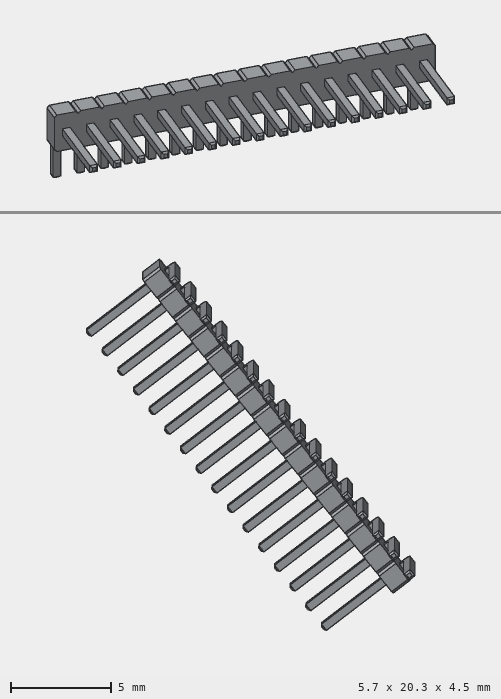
import cadquery as cq

pin_count = 16
body_length = 20.32
pitch = body_length / pin_count
overall_depth = 5.7
overall_height = 4.5

body_depth = 1.05
body_height = 2.11
body_offset = 0.67
corner_chamfer = 0.132

pin_width = 0.4
bend_radius = pin_width
tip_length = 0.1
tip_inset = tip_length
tip_width = pin_width - 2 * tip_inset

half_pin = pin_width / 2
leg_bottom = body_height / 2 - overall_height


def make_segment(y):
    """One chamfered body block; neighbouring chamfers form the V notches."""
    return (
        cq.Workplane("XY")
        .box(body_depth, pitch, body_height)
        .edges("|X")
        .chamfer(corner_chamfer)
        .translate((body_offset + body_depth / 2, y, 0))
    )


def make_tip(plane):
    """Tapered square end of a pin, growing along the plane's normal."""
    return (
        cq.Workplane(plane)
        .rect(pin_width, pin_width)
        .workplane(offset=tip_length)
        .rect(tip_width, tip_width)
        .loft(combine=True)
    )


def make_pin():
    """One right-angle pin on Y = 0 with tapered tips at both ends."""
    shank_end = overall_depth - tip_length
    leg_end = leg_bottom + tip_length
    bend_start = half_pin - bend_radius
    shaft = (
        cq.Workplane("XZ")
        .moveTo(0, leg_end)
        .lineTo(0, bend_start)
        .radiusArc((bend_radius, half_pin), bend_radius)
        .lineTo(shank_end, half_pin)
        .lineTo(shank_end, -half_pin)
        .lineTo(pin_width, -half_pin)
        .lineTo(pin_width, leg_end)
        .close()
        .extrude(half_pin, both=True)
    )
    shank_tip = make_tip(cq.Plane(origin=(shank_end, 0, 0), xDir=(0, 1, 0), normal=(1, 0, 0)))
    leg_tip = make_tip(cq.Plane(origin=(half_pin, 0, leg_end), xDir=(1, 0, 0), normal=(0, 0, -1)))
    return shaft.union(shank_tip).union(leg_tip)


pin = make_pin()
first_y = (pitch - body_length) / 2
result = make_segment(first_y).union(pin.translate((0, first_y, 0)))
for index in range(1, pin_count):
    pin_y = first_y + index * pitch
    result = result.union(make_segment(pin_y)).union(pin.translate((0, pin_y, 0)))
result = result.clean()